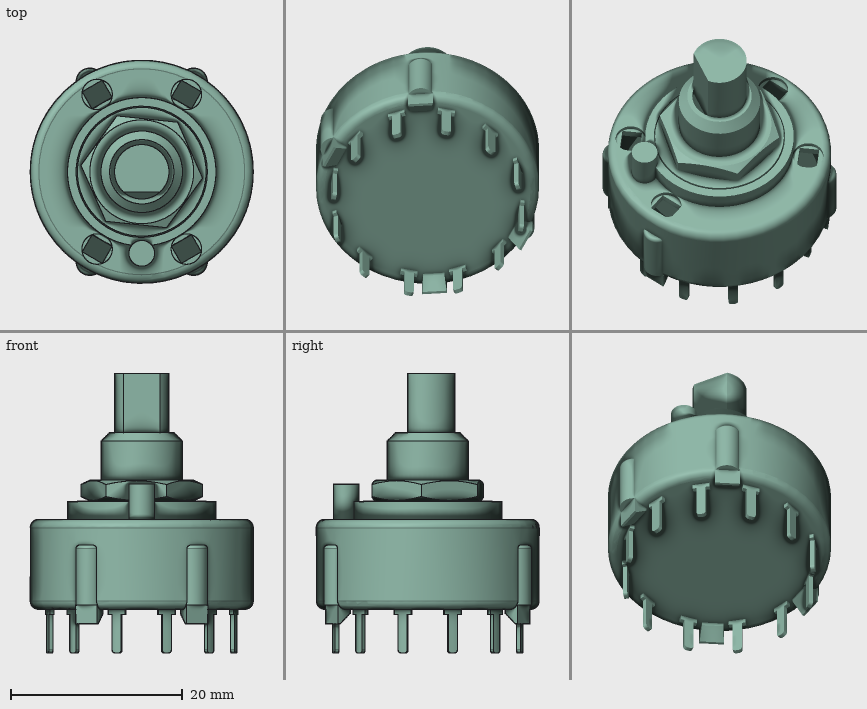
import cadquery as cq
import math


body_diameter = 26.0
body_height = 10.5
body_edge_radius = 1.0

boss_diameter = 17.3
boss_height = 2.05
washer_diameter = 15.0
washer_groove_diameter = 15.3
washer_groove_depth = 0.5
washer_protrusion = 0.1

nut_across_flats = 12.35
nut_face_diameter = 12.1
nut_height = 2.4
nut_chamfer_angle = 25.0
nut_rotation = -6.0

bushing_diameter = 9.5
bushing_top = 20.6
bushing_chamfer = 1.0
shaft_diameter = 6.35
shaft_top = 27.5
shaft_flat_distance = 2.35
shaft_flat_runout = 1.0

peg_diameter = 3.0
peg_offset = 9.5
peg_height = 4.1

clip_angles = (60, 120, 240, 300)
clip_rib_diameter = 3.2
clip_rib_offset = 12.1
clip_rib_bottom = 0.5
clip_rib_top = 7.5
clip_rib_edge_radius = 0.4
foot_width = 2.9
foot_outer_radius = 12.9
foot_inner_radius = 11.15
foot_tip_thickness = 0.3
foot_bottom = -1.7
foot_slope_top = -0.45

window_offset = 10.4
window_recess_diameter = 3.55
window_recess_depth = 0.5
window_length = 2.3
roof_thickness = 1.4
channel_inner_radius = 5.0
channel_outer_radius = 11.75
channel_depth = 3.0
moat_inner_radius = window_offset - window_length / 2
moat_depth = 6.0

terminal_count = 12
terminal_first_angle = 15.0
terminal_ring_radius = 11.1
terminal_thickness = 0.5
terminal_width = 1.1
terminal_tip_radius = 0.4
terminal_length = 5.1
terminal_embedding = 1.0
shoulder_width = 2.0
shoulder_length = 0.6

boss_top = body_height + boss_height
washer_top = boss_top + washer_protrusion
nut_top = washer_top + nut_height


def cylinder(diameter, bottom, top):
    return cq.Workplane("XY").workplane(offset=bottom).circle(diameter / 2).extrude(top - bottom)


def ring(outer_radius, inner_radius, bottom, top):
    return cylinder(2 * outer_radius, bottom, top).cut(cylinder(2 * inner_radius, bottom, top))


def at_angle(shape, angle):
    return shape.rotate((0, 0, 0), (0, 0, 1), angle)


def make_housing():
    body = cylinder(body_diameter, 0, body_height)
    return body.faces("<Z or >Z").edges().fillet(body_edge_radius)


def make_boss():
    boss = cylinder(boss_diameter, body_height, boss_top)
    groove_bottom = boss_top - washer_groove_depth
    groove = ring(washer_groove_diameter / 2, washer_diameter / 2, groove_bottom, boss_top)
    return boss.cut(groove).union(cylinder(washer_diameter, groove_bottom, washer_top))


def make_nut():
    """Hexagon trimmed top and bottom by shallow cones."""
    corner_radius = nut_across_flats / 2 / math.cos(math.radians(30))
    face_radius = nut_face_diameter / 2
    drop = (corner_radius - face_radius) * math.tan(math.radians(nut_chamfer_angle))
    profile = [
        (0, washer_top),
        (face_radius, washer_top),
        (corner_radius, washer_top + drop),
        (corner_radius, nut_top - drop),
        (face_radius, nut_top),
        (0, nut_top),
    ]
    envelope = cq.Workplane("XZ").polyline(profile).close().revolve(360, (0, 0), (0, 1))
    base = cq.Workplane("XY").workplane(offset=washer_top)
    hexagon = base.polygon(6, 2 * corner_radius).extrude(nut_height)
    return at_angle(hexagon, nut_rotation).intersect(envelope)


def make_bushing():
    return cylinder(bushing_diameter, washer_top, bushing_top).faces(">Z").chamfer(bushing_chamfer)


def add_shaft(part):
    """Add the shaft; its flat runs on below the rim of the bushing."""
    flat_bottom = bushing_top - shaft_flat_runout
    round_shaft = cylinder(shaft_diameter, flat_bottom, shaft_top)
    flat_cut = (
        cq.Workplane("XY")
        .workplane(offset=flat_bottom)
        .center(0, -shaft_flat_distance - shaft_diameter / 2)
        .rect(2 * shaft_diameter, shaft_diameter)
        .extrude(shaft_top - flat_bottom)
    )
    return part.cut(round_shaft).union(round_shaft.cut(flat_cut))


def make_peg():
    return cylinder(peg_diameter, body_height, body_height + peg_height).translate((0, -peg_offset, 0))


def make_clip():
    """Rounded rib and wedge-shaped foot, built on the +X side."""
    rib = cylinder(clip_rib_diameter, clip_rib_bottom, clip_rib_top)
    rib = rib.faces(">Z").edges().fillet(clip_rib_edge_radius).translate((clip_rib_offset, 0, 0))
    profile = [
        (foot_outer_radius, clip_rib_bottom),
        (foot_outer_radius, foot_bottom),
        (foot_outer_radius - foot_tip_thickness, foot_bottom),
        (foot_inner_radius, foot_slope_top),
        (foot_inner_radius, clip_rib_bottom),
    ]
    foot = cq.Workplane("XZ").polyline(profile).close().extrude(foot_width / 2, both=True)
    corners = [(0, 0), (foot_outer_radius, -foot_width / 2), (foot_outer_radius, foot_width / 2)]
    wedge_height = clip_rib_bottom - foot_bottom
    wedge = cq.Workplane("XY").workplane(offset=foot_bottom).polyline(corners).close().extrude(wedge_height)
    return rib.union(foot.intersect(wedge))


def make_window():
    """Round recess with an inscribed rectangular opening, built on the +X side."""
    recess_bottom = body_height - window_recess_depth
    recess = cylinder(window_recess_diameter, recess_bottom, body_height)
    window_width = math.sqrt(window_recess_diameter**2 - window_length**2)
    channel_top = body_height - roof_thickness
    opening = (
        cq.Workplane("XY")
        .workplane(offset=channel_top)
        .rect(window_length, window_width)
        .extrude(roof_thickness)
    )
    opening = opening.intersect(cylinder(window_recess_diameter, channel_top, body_height))
    return recess.union(opening).translate((window_offset, 0, 0))


def make_channel():
    top = body_height - roof_thickness
    channel = ring(channel_outer_radius, channel_inner_radius, top - channel_depth, top)
    moat = ring(channel_outer_radius, moat_inner_radius, top - moat_depth, top)
    return channel.union(moat)


def make_terminal():
    """Flat blade with a wider shoulder, built on the +X side."""
    blade = (
        cq.Workplane("XY")
        .workplane(offset=-terminal_length)
        .rect(terminal_thickness, terminal_width)
        .extrude(terminal_length + terminal_embedding)
    )
    blade = blade.faces("<Z").edges("|X").fillet(terminal_tip_radius)
    shoulder = (
        cq.Workplane("XY")
        .workplane(offset=-shoulder_length)
        .rect(terminal_thickness, shoulder_width)
        .extrude(shoulder_length + terminal_embedding)
    )
    return blade.union(shoulder).translate((terminal_ring_radius, 0, 0))


result = make_housing()
clip = make_clip()
window = make_window()
for angle in clip_angles:
    result = result.union(at_angle(clip, angle))
    result = result.cut(at_angle(window, angle))
result = result.cut(make_channel())

result = result.union(make_boss()).union(make_nut()).union(make_bushing())
result = add_shaft(result)
result = result.union(make_peg())

terminal = make_terminal()
for index in range(terminal_count):
    angle = terminal_first_angle + index * 360 / terminal_count
    result = result.union(at_angle(terminal, angle))